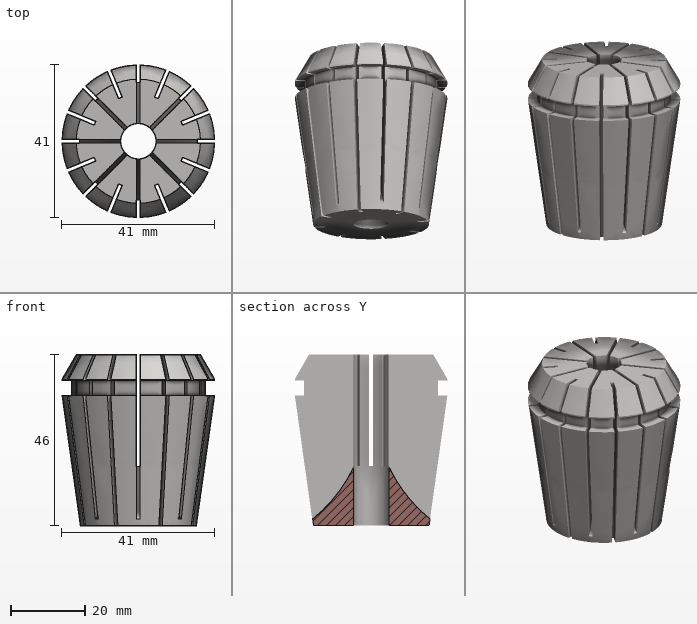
import cadquery as cq
import math

height = 46.0
max_diameter = 41.0
max_radius = max_diameter / 2
bore_radius = 4.75

nose_half_angle = 30.0
lip_top = 39.38
nose_top_radius = max_radius - (height - lip_top) * math.tan(math.radians(nose_half_angle))

groove_top = 39.0
groove_bottom = 34.95
groove_radius = 18.0

taper_half_angle = 8.0
taper_slope = math.tan(math.radians(taper_half_angle))
base_radius = max_radius - groove_bottom * taper_slope

slots_per_set = 8
slot_width = 1.0
slot_pitch = 360.0 / slots_per_set
cut_margin = 2.3
cut_radius = max_radius + cut_margin

floor_inner_height = 15.95
floor_outer_height = 1.85
floor_radius = 40.0

relief_inner_radius = 12.65


def make_body():
    """Revolve the solid outer profile and bore it through."""
    profile = (
        cq.Workplane("XZ")
        .moveTo(bore_radius, 0)
        .lineTo(base_radius, 0)
        .lineTo(max_radius, groove_bottom)
        .lineTo(groove_radius, groove_bottom)
        .lineTo(groove_radius, groove_top)
        .lineTo(max_radius, groove_top)
        .lineTo(max_radius, lip_top)
        .lineTo(nose_top_radius, height)
        .lineTo(bore_radius, height)
        .close()
    )
    return profile.revolve(360, (0, 0, 0), (0, 1, 0))


def make_clamping_slot():
    """Slot along +X, open to the bore, with a concave saw-cut floor."""
    floor_outer_radius = base_radius + floor_outer_height * taper_slope
    chord_run = floor_outer_radius - bore_radius
    chord_drop = floor_inner_height - floor_outer_height
    chord = math.hypot(chord_run, chord_drop)
    sagitta = floor_radius - math.sqrt(floor_radius**2 - (chord / 2) ** 2)
    middle_x = (bore_radius + floor_outer_radius) / 2 - sagitta * chord_drop / chord
    middle_z = (floor_inner_height + floor_outer_height) / 2 - sagitta * chord_run / chord
    return (
        cq.Workplane("XZ")
        .moveTo(0, floor_inner_height)
        .lineTo(bore_radius, floor_inner_height)
        .threePointArc((middle_x, middle_z), (floor_outer_radius, floor_outer_height))
        .lineTo(cut_radius, floor_outer_height)
        .lineTo(cut_radius, height + cut_margin)
        .lineTo(0, height + cut_margin)
        .close()
        .extrude(slot_width / 2, both=True)
    )


def make_relief_slot():
    """Full-height slot along +X with a straight upright floor."""
    slot = cq.Workplane("XY").box(
        cut_radius - relief_inner_radius,
        slot_width,
        height + 2 * cut_margin,
        centered=(False, True, False),
    )
    return slot.translate((relief_inner_radius, 0, -cut_margin))


def cut_around(body, slot, start_angle):
    """Cut one set of evenly spaced slots around the axis."""
    for index in range(slots_per_set):
        angle = start_angle + index * slot_pitch
        body = body.cut(slot.rotate((0, 0, 0), (0, 0, 1), angle))
    return body


result = make_body()
result = cut_around(result, make_clamping_slot(), 0)
result = cut_around(result, make_relief_slot(), slot_pitch / 2)